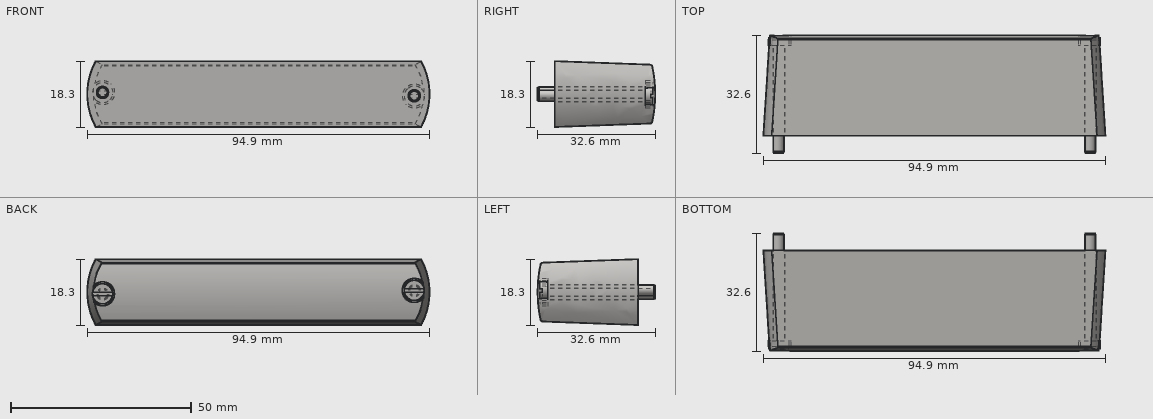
import cadquery as cq
import math

length = 94.9
height = 18.3
depth = 27.9
end_bow = 2.4
end_draft = 3.7
flat_draft = 2.1
back_crown = 0.95
back_edge_chamfer = 0.4

screw_x = 43.2
screw_z = 0.5
shank_diameter = 3.0
tip_diameter = 2.6
tip_length = 0.5
shank_protrusion = 4.7
head_diameter = 5.6
head_height = 2.2
slot_width = 0.95
slot_depth = 0.7

hole_diameter = 3.3
pocket_diameter = 6.6
pocket_depth = 2.8
pocket_floor = depth - pocket_depth

screw_places = [(-screw_x, screw_z), (screw_x, -screw_z)]


def cylinder(diameter, y_start, y_end):
    """Cylinder along the Y axis between two Y positions."""
    plane = cq.Workplane("XZ", origin=(0, y_start, 0))
    return plane.circle(diameter / 2).extrude(y_start - y_end)


def bowed_section(y):
    """Closed section of the tapered block at a given Y position."""
    half_length = length / 2 - y * math.tan(math.radians(end_draft))
    half_height = height / 2 - y * math.tan(math.radians(flat_draft))
    corner_x = half_length - end_bow
    section = (
        cq.Workplane("XZ", origin=(0, y, 0))
        .moveTo(-corner_x, half_height)
        .lineTo(corner_x, half_height)
        .threePointArc((half_length, 0), (corner_x, -half_height))
        .lineTo(-corner_x, -half_height)
        .threePointArc((-half_length, 0), (-corner_x, half_height))
        .close()
    )
    return section.val()


def crowned_prism():
    """Prism along X: tapered flats, an arc for a back, and chamfered edges between them."""
    front_half_height = height / 2
    corner_y = depth - back_crown
    corner_z = front_half_height - corner_y * math.tan(math.radians(flat_draft))
    prism = (
        cq.Workplane("YZ")
        .moveTo(0, -front_half_height)
        .lineTo(corner_y, -corner_z)
        .threePointArc((depth, 0), (corner_y, corner_z))
        .lineTo(0, front_half_height)
        .close()
        .extrude(length / 2, both=True)
    )
    back_edges = prism.edges("|X").edges(">Y")
    return back_edges.chamfer(back_edge_chamfer)


def make_housing():
    block = cq.Workplane(cq.Solid.makeLoft([bowed_section(0), bowed_section(depth)], True))
    body = block.intersect(crowned_prism())
    for x, z in screw_places:
        hole = cylinder(hole_diameter, 0, pocket_floor)
        pocket = cylinder(pocket_diameter, pocket_floor, depth)
        body = body.cut(hole.translate((x, 0, z)))
        body = body.cut(pocket.translate((x, 0, z)))
    return body


def make_screw(x, z):
    """Slotted screw whose head rests on the pocket floor."""
    head_top = pocket_floor + head_height
    shank = cylinder(shank_diameter, -shank_protrusion, pocket_floor)
    tip_chamfer = (shank_diameter - tip_diameter) / 2
    shank = shank.faces("<Y").chamfer(tip_length, tip_chamfer)
    head = cylinder(head_diameter, pocket_floor, head_top)
    slot = cq.Workplane("XY").box(head_diameter, 2 * slot_depth, slot_width)
    head = head.cut(slot.translate((0, head_top, 0)))
    return shank.union(head).translate((x, 0, z))


housing = make_housing()
screws = [make_screw(x, z) for x, z in screw_places]

result = cq.Compound.makeCompound([housing.val(), *[screw.val() for screw in screws]])